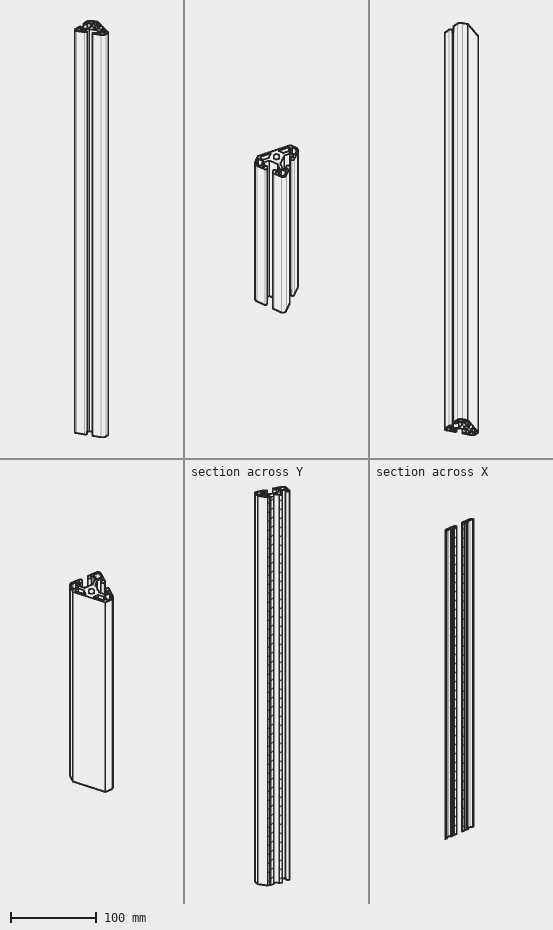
import cadquery as cq
import math

length = 500.0
half_width = 20.0
slope_sum = 11.5
corner_radius = 4.0
wall = 1.7

bore_radius = 3.4
bore_wall = 4.3
core_half_width = bore_radius + bore_wall

opening_half_width = 3.8
channel_half_width = 10.0
channel_chamfer = 4.6
lip_thickness = 4.65
lip_root_thickness = 2.25
lip_thick_reach = 7.5
lip_outer_radius = 2.0
lip_inner_radius = 2.0
lip_root_radius = 2.0

pocket_radius = 3.25

web_sum = 2.5
sloped_wall = 2.0
cavity_end = 16.5


def prism(points):
    """Full-length prism over a closed polygon, centred on Z."""
    return cq.Workplane("XY").polyline(points).close().extrude(length / 2, both=True)


def round_edge(solid, x, y, radius):
    """Fillet the lengthwise edge that passes through (x, y)."""
    return solid.edges(cq.selectors.NearestToPointSelector((x, y, 0))).fillet(radius)


def quarter_turn(solid):
    """Move a feature of the -Y face to the -X face."""
    return solid.rotate((0, 0, 0), (0, 0, 1), -90)


def make_body():
    """Square bar with one corner cut off by the sloped face and the other three rounded."""
    slope_end = slope_sum - half_width
    body = prism(
        [
            (-half_width, -half_width),
            (half_width, -half_width),
            (half_width, slope_end),
            (slope_end, half_width),
            (-half_width, half_width),
        ]
    )
    for x_sign, y_sign in outer_corners:
        body = round_edge(body, x_sign * half_width, y_sign * half_width, corner_radius)
    return body


def make_slot():
    """T-slot through the -Y face, with rounded corners at the roots of its lips."""
    lip_inside = lip_thickness - half_width
    lip_root = lip_root_thickness - half_width
    right_side = [
        (opening_half_width, -half_width),
        (opening_half_width, lip_inside),
        (lip_thick_reach, lip_inside),
        (lip_thick_reach, lip_root),
        (channel_half_width, lip_root),
        (channel_half_width, -core_half_width - channel_chamfer),
        (channel_half_width - channel_chamfer, -core_half_width),
    ]
    left_side = [(-x, y) for x, y in reversed(right_side)]
    slot = prism(right_side + left_side)
    for side in (-1, 1):
        slot = round_edge(slot, side * channel_half_width, lip_root, lip_root_radius)
    return slot


def round_lips(body):
    """Round the outer and inner edges of the lips beside both slot openings."""
    for depth, radius in ((0, lip_outer_radius), (lip_thickness, lip_inner_radius)):
        level = depth - half_width
        for across in (-opening_half_width, opening_half_width):
            body = round_edge(body, across, level, radius)
            body = round_edge(body, level, across, radius)
    return body


def make_corner_pocket(x_sign, y_sign):
    """Square hollow behind an outer corner, rounded on its outermost edge."""
    outer = half_width - wall
    inner = channel_half_width + wall
    size = outer - inner
    middle = (outer + inner) / 2
    pocket = (
        cq.Workplane("XY")
        .center(x_sign * middle, y_sign * middle)
        .rect(size, size)
        .extrude(length / 2, both=True)
    )
    return round_edge(pocket, x_sign * outer, y_sign * outer, pocket_radius)


def upper_cavity_points():
    """Outline of the cavity between the sloped face, the upper web and the core."""
    inner_slope_sum = slope_sum - sloped_wall * math.sqrt(2)
    left = -channel_half_width
    return [
        (left, web_sum - left),
        (web_sum - core_half_width, core_half_width),
        (inner_slope_sum - core_half_width, core_half_width),
        (inner_slope_sum - cavity_end, cavity_end),
        (left, cavity_end),
    ]


outer_corners = ((-1, -1), (1, -1), (-1, 1))
result = make_body()

slot = make_slot()
result = result.cut(slot).cut(quarter_turn(slot))
result = round_lips(result)

for x_sign, y_sign in outer_corners:
    result = result.cut(make_corner_pocket(x_sign, y_sign))

upper_cavity = upper_cavity_points()
right_cavity = [(y, x) for x, y in upper_cavity]
for cavity in (upper_cavity, right_cavity):
    result = result.cut(prism(cavity))

bore = cq.Workplane("XY").circle(bore_radius).extrude(length / 2, both=True)
result = result.cut(bore)